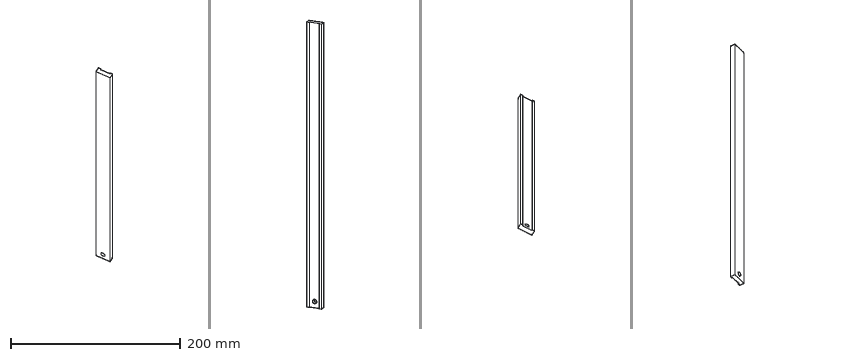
import cadquery as cq

width = 19.2
thickness = 6.5
length = 362.0

groove_width = 12.5
groove_depth = 1.0

hole_diameter = 5.5
hole_height = 8.0

bar = cq.Workplane("XY").box(width, thickness, length, centered=(True, True, False))

groove = (
    cq.Workplane("XY")
    .center(0, thickness / 2 - groove_depth / 2)
    .rect(groove_width, groove_depth)
    .extrude(length)
)

hole = (
    cq.Workplane("XZ")
    .center(0, hole_height)
    .circle(hole_diameter / 2)
    .extrude(thickness, both=True)
)

result = bar.cut(groove).cut(hole)